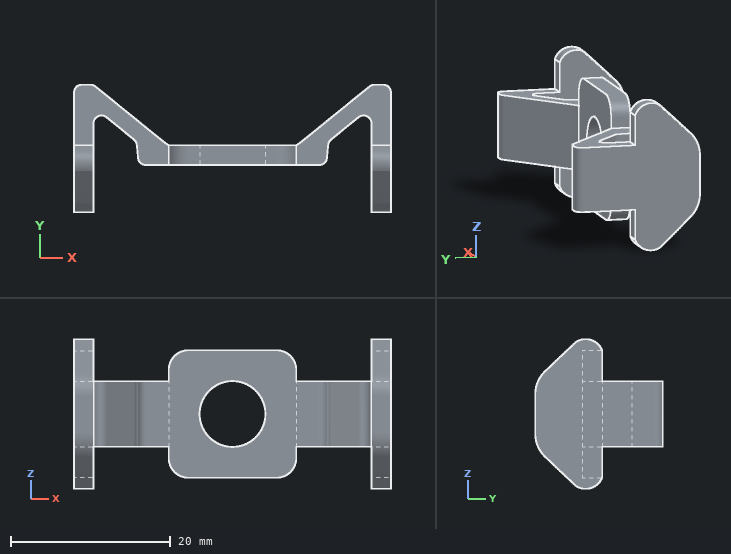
import cadquery as cq

length = 39.7
hook_height = 18.78
half_length = length / 2
thickness = 2.5
leg_thickness = 2.45
arm_width = 8.2
bend_radius = 1.0

plate_size = 16.0
plate_corner_radius = 2.5
hole_diameter = 8.2

arm_back = 10.1
shoulder_x = -17.43
knee = (-9.0, 3.25)
inner_bend_y = 7.3
inner_elbow = (-12.03, 2.95)
foot_x = -11.75

hook_front = -5.9
nose_half_height = 2.45
nose_end = (-4.45, 5.55)
flank_middle = (-2.5, 7.42)
tip_start = (-0.7, 9.1)
tip_peak = (0.4, hook_height / 2)
tip_end_z = 7.9


def make_plate():
    """Square centre plate with rounded corners and a central hole."""
    plate = cq.Workplane("XY").box(plate_size, thickness, plate_size, centered=(True, False, True))
    plate = plate.edges("|Y").fillet(plate_corner_radius)
    hole = cq.Workplane("XZ").circle(hole_diameter / 2).extrude(-thickness)
    return plate.cut(hole)


def make_arm():
    """Left leg and sloping arm, joined to the edge of the centre plate."""
    plate_edge = -plate_size / 2
    leg_inner = -half_length + leg_thickness
    arm_end = plate_edge + thickness / 2
    arm = (
        cq.Workplane("XY", origin=(0, 0, -arm_width / 2))
        .moveTo(-half_length, 0)
        .lineTo(-half_length, arm_back)
        .lineTo(shoulder_x, arm_back)
        .lineTo(*knee)
        .tangentArcPoint((plate_edge, thickness), relative=False)
        .lineTo(arm_end, thickness)
        .lineTo(arm_end, 0)
        .lineTo(foot_x, 0)
        .lineTo(*inner_elbow)
        .lineTo(leg_inner, inner_bend_y)
        .lineTo(leg_inner, 0)
        .close()
        .extrude(arm_width)
    )
    rounded_corners = [
        (-half_length, arm_back),
        (shoulder_x, arm_back),
        (leg_inner, inner_bend_y),
        inner_elbow,
        (foot_x, 0),
    ]
    for x, y in rounded_corners:
        arm = arm.edges(cq.selectors.NearestToPointSelector((x, y, 0))).fillet(bend_radius)
    return arm


def make_hook():
    """Hook plate at the end of the left leg, symmetric about Z = 0."""
    upper_half = (
        cq.Workplane("YZ", origin=(-half_length, 0, 0))
        .moveTo(thickness, 0)
        .lineTo(hook_front, 0)
        .lineTo(hook_front, nose_half_height)
        .tangentArcPoint(nose_end, relative=False)
        .threePointArc(flank_middle, tip_start)
        .threePointArc(tip_peak, (thickness, tip_end_z))
        .close()
        .extrude(leg_thickness)
    )
    return upper_half.union(upper_half.mirror("XY"))


left_side = make_arm().union(make_hook())
right_side = left_side.mirror("YZ")
result = make_plate().union(left_side).union(right_side).clean()